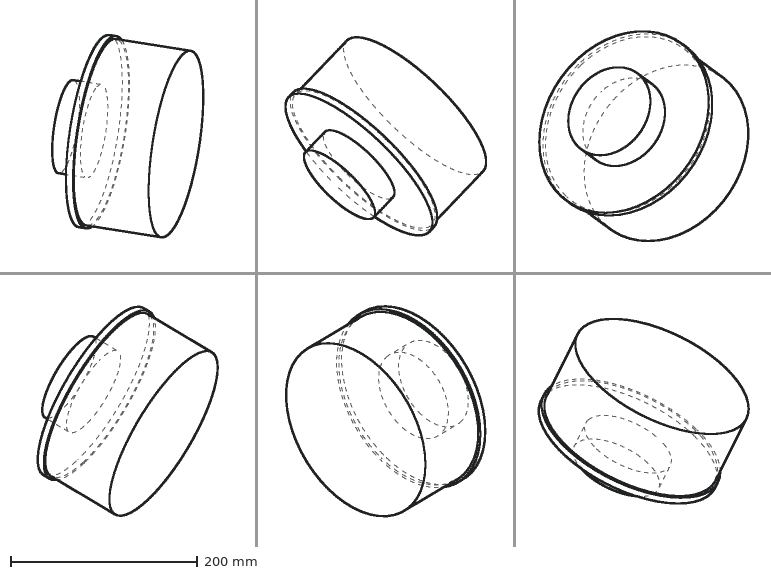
import cadquery as cq

total_length = 123.8
flange_diameter = 209.5
drum_diameter = 203.3
hub_diameter = drum_diameter / 2
hub_length = 31.9
flange_thickness = 8.0
drum_length = total_length - hub_length - flange_thickness


def disc(diameter, start_x, length):
    """Solid disc on the X axis, extending from start_x toward +X."""
    return cq.Workplane("YZ").workplane(offset=start_x).circle(diameter / 2).extrude(length)


hub = disc(hub_diameter, 0, hub_length)
flange = disc(flange_diameter, hub_length, flange_thickness)
drum = disc(drum_diameter, hub_length + flange_thickness, drum_length)

result = hub.union(flange).union(drum)